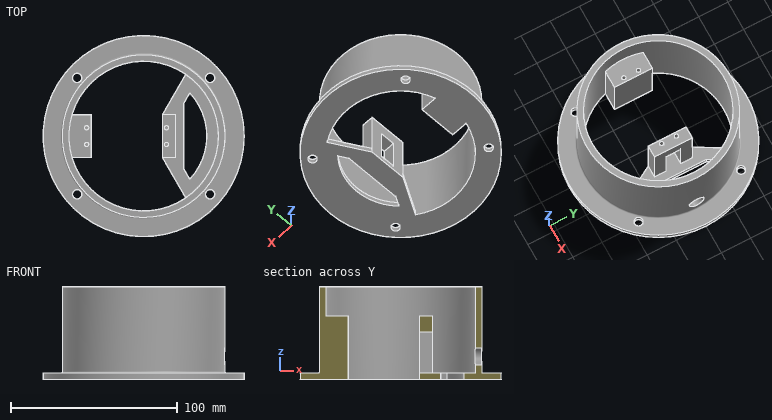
import cadquery as cq
import math

flange_diameter = 121.2
flange_thickness = 4.0
tube_diameter = 98.0
bore_diameter = 90.0
total_height = 56.0
root_fillet = 1.0

bolt_diameter = 5.5
bolt_x = 40.0
bolt_y = 35.0

mount_width = 26.0
mount_top = 38.3
left_mount_face_x = -31.5
right_mount_face_x = 11.3
right_mount_depth = 8.0
leg_opening_width = 10.0
bridge_thickness = 9.7

screw_diameter = 2.5
screw_depth = 8.5
screw_spacing = 10.1
left_screw_x = -34.3
right_screw_x = 13.7

web_angle = math.radians(60)
window_face_x = 24.2
window_half_width = 19.8
window_radius = 38.0

cable_diameter = 10.0
cable_z = 14.0
cable_cut_start_x = 42.4

tube_radius = tube_diameter / 2
bore_radius = bore_diameter / 2
wall_mid_radius = (tube_radius + bore_radius) / 2


def flared_prism(start_x, half_width, end_x, height):
    """Prism whose sides spread from start_x to end_x at the web angle."""
    end_half_width = half_width + (end_x - start_x) * math.tan(web_angle)
    outline = [
        (start_x, -half_width),
        (end_x, -end_half_width),
        (end_x, end_half_width),
        (start_x, half_width),
    ]
    return cq.Workplane("XY").polyline(outline).close().extrude(height)


def cylinder(radius, height):
    return cq.Workplane("XY").circle(radius).extrude(height)


def make_shell():
    flange = cylinder(flange_diameter / 2, flange_thickness)
    shell = flange.union(cylinder(tube_radius, total_height))
    root_edge = cq.selectors.BoxSelector(
        (-tube_radius, -tube_radius, flange_thickness - root_fillet / 2),
        (tube_radius, tube_radius, flange_thickness + root_fillet / 2),
        boundingbox=False,
    )
    inner_corner = cq.selectors.RadiusNthSelector(0)
    shell = shell.edges(root_edge).edges(inner_corner).fillet(root_fillet)
    shell = shell.cut(cylinder(bore_radius, total_height))
    bolts = (
        cq.Workplane("XY")
        .rect(2 * bolt_x, 2 * bolt_y, forConstruction=True)
        .vertices()
        .circle(bolt_diameter / 2)
        .extrude(flange_thickness)
    )
    return shell.cut(bolts)


def make_web():
    web = flared_prism(right_mount_face_x, mount_width / 2, tube_radius, flange_thickness)
    web = web.intersect(cylinder(wall_mid_radius, flange_thickness))
    window = flared_prism(window_face_x, window_half_width, tube_radius, flange_thickness)
    return web.cut(window.intersect(cylinder(window_radius, flange_thickness)))


def make_right_mount():
    center_x = right_mount_face_x + right_mount_depth / 2
    mount = (
        cq.Workplane("XY")
        .center(center_x, 0)
        .rect(right_mount_depth, mount_width)
        .extrude(mount_top)
    )
    opening_height = mount_top - bridge_thickness - flange_thickness
    opening = (
        cq.Workplane("XY", origin=(center_x, 0, flange_thickness))
        .rect(right_mount_depth, leg_opening_width)
        .extrude(opening_height)
    )
    return mount.cut(opening)


def make_left_mount():
    depth = left_mount_face_x + tube_radius
    mount = (
        cq.Workplane("XY")
        .center(left_mount_face_x - depth / 2, 0)
        .rect(depth, mount_width)
        .extrude(mount_top)
    )
    return mount.intersect(cylinder(wall_mid_radius, mount_top))


def make_screw_holes():
    positions = [
        (x, side * screw_spacing / 2)
        for x in (left_screw_x, right_screw_x)
        for side in (-1, 1)
    ]
    return (
        cq.Workplane("XY", origin=(0, 0, mount_top - screw_depth))
        .pushPoints(positions)
        .circle(screw_diameter / 2)
        .extrude(screw_depth)
    )


def make_cable_hole():
    return (
        cq.Workplane("YZ", origin=(cable_cut_start_x, 0, cable_z))
        .circle(cable_diameter / 2)
        .extrude(tube_radius - cable_cut_start_x)
    )


result = (
    make_shell()
    .union(make_web())
    .union(make_right_mount())
    .union(make_left_mount())
    .cut(make_screw_holes())
    .cut(make_cable_hole())
)